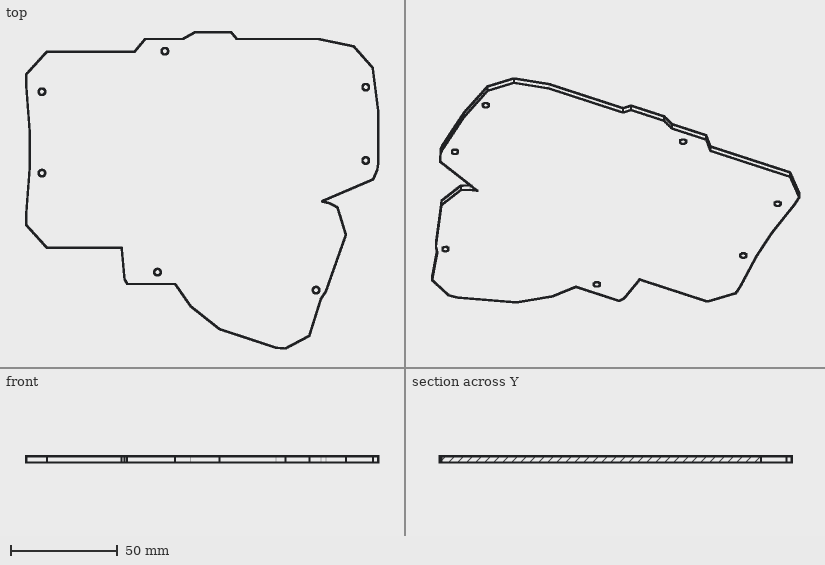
import cadquery as cq

length = 165.0
width = 148.2
thickness = 3.0
hole_diameter = 3.0

block_bottom = 47.2
block_top = 139.2
block_middle = (block_bottom + block_top) / 2
corner_run = 9.7
corner_rise = 10.7
waist_depth = 1.7
waist_half_flat = 8.6
waist_half_length = 30.2

shoulder_y = 145.1
step_y = 30.2

left_hole_x = 7.5
left_hole_ys = (82.2, 120.3)
right_hole_x = 159.1
right_hole_ys = (88.1, 122.5)
top_hole = (65.0, 139.3)
bottom_hole = (61.5, 35.8)
lobe_hole = (135.9, 27.4)

top_edge = [
    (corner_run, block_top),
    (50.8, block_top),
    (55.8, shoulder_y),
    (73.5, shoulder_y),
    (79.0, width),
    (96.0, width),
    (98.7, shoulder_y),
    (137.0, shoulder_y),
]

right_edge = [
    (153.5, 141.6),
    (162.5, 131.5),
    (length, 111.0),
    (length, 87.0),
    (164.5, 83.7),
    (162.6, 79.2),
]

lobe_edge = [
    (138.7, 69.0),
    (142.1, 68.2),
    (146.0, 66.2),
    (149.9, 53.3),
    (140.5, 26.7),
    (138.2, 23.3),
    (132.7, 6.0),
    (121.5, 0),
    (117.2, 0.3),
    (90.6, 9.0),
    (77.1, 19.8),
]

bottom_edge = [
    (69.8, step_y),
    (47.4, step_y),
    (46.0, 32.7),
    (44.7, block_bottom),
    (corner_run, block_bottom),
]

left_edge = [
    (0, block_bottom + corner_rise),
    (0, block_middle - waist_half_length),
    (waist_depth, block_middle - waist_half_flat),
    (waist_depth, block_middle + waist_half_flat),
    (0, block_middle + waist_half_length),
    (0, block_top - corner_rise),
]


def make_plate():
    outline = top_edge + right_edge + lobe_edge + bottom_edge + left_edge
    return cq.Workplane("XY").polyline(outline).close().extrude(thickness)


def make_hole_cutters():
    centres = [top_hole, bottom_hole, lobe_hole]
    for y in left_hole_ys:
        centres.append((left_hole_x, y))
    for y in right_hole_ys:
        centres.append((right_hole_x, y))
    return cq.Workplane("XY").pushPoints(centres).circle(hole_diameter / 2).extrude(thickness)


result = make_plate().cut(make_hole_cutters())